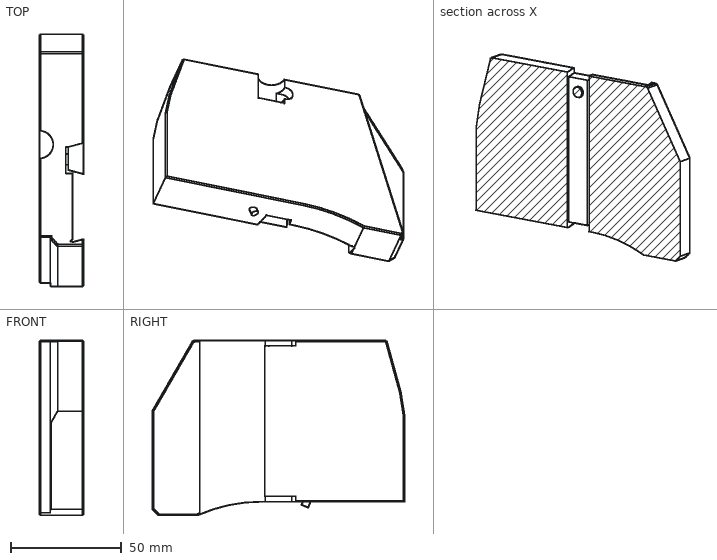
import cadquery as cq
import math

thickness = 20.0
length = 114.0
height = 79.0
edge_break = 0.6

underside_z = 6.1
underside_radius = 70.0
foot_end_y = 20.5
nose_chamfer = 2.8
nose_top_z = 47.0
nose_slope = math.radians(30)
back_top_z = 44.75
back_mid_y, back_mid_z = 112.2, 55.8
back_ridge_y = 105.8

relief_depth = 5.0
relief_top_y = 22.4
relief_slope = math.radians(15)
bevel_width = 3.2
bevel_run = 3.3
nose_edge_break = 0.4

seat_x = 15.0
seat_front_y = 21.5
jaw_angle = math.radians(15)
groove_x, groove_y = 14.1, 20.4
jaw_root_x = 15.2

pocket_x = 12.0
pocket_front_y = 51.1
bar_x = 13.0
bar_back_y = 63.0
bar_front_y = 52.6
bar_end_gap = 2.5

screw_y = 57.4
screw_z = height - 8.7
screw_diameter = 5.0
head_diameter = 6.7
head_depth = 5.0
screw_grip = 5.0
access_y = 64.1
access_diameter = 12.5
access_depth = 14.6

pin_diameter = 3.3
pin_end_y, pin_end_z = 68.9, 4.1
pin_tilt = math.radians(22)
pin_length = 6.0

margin = 0.5

nose_top_y = (height - nose_top_z) * math.tan(nose_slope)


def side_prism(outline, depth):
    """Close a Y-Z outline and extrude it from X = 0 to the given depth."""
    return outline.close().extrude(depth)


def plan_prism(points, z_start, z_end):
    """Extrude an X-Y polygon from z_start to z_end."""
    return cq.Workplane("XY").polyline(points).close().extrude(z_end - z_start).translate((0, 0, z_start))


def cross_cylinder(diameter, y, z, x_start, x_end):
    """Cylinder along X between x_start and x_end."""
    start = cq.Workplane("YZ", origin=(x_start, y, z))
    return start.circle(diameter / 2).extrude(x_end - x_start)


def make_block():
    """Full-thickness body; the arc under it is tangent to the flat underside."""
    arc_run = math.sqrt(underside_radius**2 - (underside_radius - underside_z) ** 2)
    arc_start_y = foot_end_y + arc_run
    half_angle = math.asin(arc_run / underside_radius) / 2
    arc_mid_y = arc_start_y - underside_radius * math.sin(half_angle)
    arc_mid_z = underside_z - underside_radius * (1 - math.cos(half_angle))
    outline = (
        cq.Workplane("YZ")
        .moveTo(nose_chamfer, 0)
        .lineTo(foot_end_y, 0)
        .threePointArc((arc_mid_y, arc_mid_z), (arc_start_y, underside_z))
        .lineTo(length, underside_z)
        .lineTo(length, back_top_z)
        .lineTo(back_mid_y, back_mid_z)
        .lineTo(back_ridge_y, height)
        .lineTo(nose_top_y, height)
        .lineTo(0, nose_top_z)
        .lineTo(0, nose_chamfer)
    )
    return side_prism(outline, thickness)


def make_nose_relief():
    """Removes everything in front of the sloped shoulder, on the -X side only."""
    rise = height * math.tan(relief_slope)
    front_y = -relief_top_y
    region = (
        cq.Workplane("YZ")
        .moveTo(relief_top_y - rise, 0)
        .lineTo(relief_top_y, height)
        .lineTo(front_y, height)
        .lineTo(front_y, 0)
    )
    return side_prism(region, relief_depth)


def make_dovetail_seat():
    """Open seat between the fixed jaw and the clamp bar, with a relief groove at the jaw root."""
    jaw_root_y = seat_front_y - (thickness - jaw_root_x) * math.tan(jaw_angle)
    seat = [
        (thickness, seat_front_y),
        (jaw_root_x, jaw_root_y),
        (groove_x, groove_y),
        (seat_x, seat_front_y),
        (seat_x, pocket_front_y),
        (pocket_x, pocket_front_y),
        (pocket_x, bar_back_y),
        (bar_x, bar_back_y),
        (thickness, bar_back_y + (thickness - bar_x) * math.tan(jaw_angle)),
    ]
    return plan_prism(seat, 0, height)


def make_clamp_bar():
    """Clamp bar flared toward +X, resting on the back wall of its pocket."""
    flare = (thickness - bar_x) * math.tan(jaw_angle)
    bar = [
        (bar_x, bar_front_y),
        (thickness, bar_front_y - flare),
        (thickness, bar_back_y + flare),
        (bar_x, bar_back_y),
    ]
    return plan_prism(bar, underside_z + bar_end_gap, height - bar_end_gap)


def make_access_pocket():
    """Half-round pocket on the -X side, open at the top."""
    floor = cq.Workplane("XY", origin=(0, access_y, height - access_depth))
    return floor.circle(access_diameter / 2).extrude(access_depth)


def make_head_recess():
    """Screw head recess on the -X side, widened into a slot toward the access pocket."""
    recess = cross_cylinder(head_diameter, screw_y, screw_z, 0, head_depth)
    slot_length = access_y - screw_y
    slot = cq.Workplane("XY").box(head_depth, slot_length, head_diameter, centered=(False, False, True))
    return recess.union(slot.translate((0, screw_y, screw_z)))


def make_screw():
    """Screw shank that joins the body to the clamp bar."""
    return cross_cylinder(screw_diameter, screw_y, screw_z, head_depth, bar_x + screw_grip)


def make_pin():
    """Slanted pin that sticks out of the underside."""
    axis = (0, math.sin(pin_tilt), math.cos(pin_tilt))
    end = cq.Plane(origin=(thickness / 2, pin_end_y, pin_end_z), xDir=(1, 0, 0), normal=axis)
    return cq.Workplane(end).circle(pin_diameter / 2).extrude(pin_length)


def make_nose_bevel():
    """Wedge that bevels the -X edge of the sloped nose face, following its slope."""
    slope_direction = (0, math.sin(nose_slope), math.cos(nose_slope))
    section = cq.Plane(origin=(0, 0, nose_top_z), xDir=(1, 0, 0), normal=slope_direction)
    wedge = [
        (relief_depth, 0),
        (relief_depth + bevel_width, 0),
        (relief_depth, bevel_run * math.cos(nose_slope)),
    ]
    return cq.Workplane(section).polyline(wedge).close().extrude(height, both=True)


def box_selector(low, high):
    """Select the edges whose centers lie between two opposite corners."""
    return cq.selectors.BoxSelector(low, high)


def break_edges(body):
    """Chamfer the nose edge, both ends of the top face and the rims of the two side faces."""
    nose_edge = box_selector(
        (relief_depth - margin, -margin, nose_chamfer),
        (relief_depth + margin, margin, nose_top_z),
    )
    front_top_edges = box_selector(
        (0, nose_top_y - margin, height - margin),
        (thickness, relief_top_y + margin, height + margin),
    )
    back_top_edge = box_selector(
        (0, back_ridge_y - margin, height - margin),
        (thickness, back_ridge_y + margin, height + margin),
    )
    body = body.edges(nose_edge).chamfer(nose_edge_break)
    body = body.edges(front_top_edges).chamfer(edge_break)
    body = body.edges(back_top_edge).chamfer(edge_break)
    body = body.faces("<X").edges().chamfer(edge_break)
    return body.faces(">X").edges().chamfer(edge_break)


body = make_block().cut(make_nose_relief()).cut(make_nose_bevel())
body = break_edges(body)
body = body.cut(make_dovetail_seat()).cut(make_access_pocket()).cut(make_head_recess())
result = body.union(make_clamp_bar()).union(make_screw()).union(make_pin())